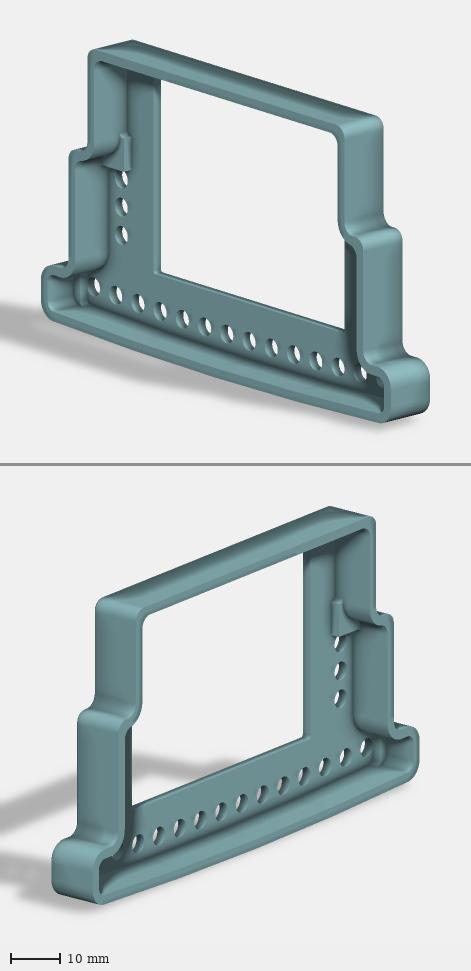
import cadquery as cq
import math

depth = 11.1
wall = 2.0
floor_thickness = 2.0
back_edge_radius = 0.6

height = 61.7
top_half_width = 39.3
middle_half_width = 45.0
base_half_width = 53.5
upper_shoulder_z = 39.2
lower_shoulder_z = 13.1
bottom_bow = 1.4
bow_radius = (base_half_width**2 + bottom_bow**2) / (2 * bottom_bow)

step_radius = 2.5
base_radius = 4.0
cavity_concave_radius = step_radius + wall
cavity_convex_radius = step_radius
cavity_base_radius = base_radius - wall

window_half_width = 29.2
window_bottom_z = 14.0
window_top_z = 57.6
window_corner_radius = 0.6

hole_diameter = 4.0
side_hole_x = 39.1
side_hole_bottom_z = 20.0
side_hole_pitch = 6.0
side_hole_count = 3
row_hole_count = 15
row_length = 95.1
row_hole_pitch = row_length / (row_hole_count - 1)
row_middle_z = 6.0
row_bow_radius = 930.9

pad_height = 2.0
pad_fillet = 1.0
shoulder_pad_half_width = 36.0
shoulder_pad_bottom_z = 34.6
shoulder_pad_top_z = upper_shoulder_z + step_radius
end_pad_half_width = 49.4

floor_y = depth - floor_thickness
pad_y = floor_y - pad_height


def prism(sketch, y_start, y_end):
    """Extrude an X-Z sketch from y_start to y_end."""
    return sketch.extrude(y_start - y_end).translate((0, y_start, 0))


def bow_z(x, radius, lowest_z):
    """Height at x of an upward-curving arc whose lowest point is at X = 0."""
    return lowest_z + radius - math.sqrt(radius**2 - x**2)


def round_corners(body, corners, radius, y_middle):
    """Fillet the Y-parallel edges through the given (x, z) corners and their mirror images."""
    for x, z in corners:
        for side in (-1, 1):
            corner = cq.selectors.NearestToPointSelector((side * x, y_middle, z))
            body = body.edges("|Y").edges(corner).fillet(radius)
    return body


def base_outline(inset):
    """Right half of the base, from the middle of the bottom edge to the foot of the middle step."""
    base_x = base_half_width - inset
    radius = bow_radius - inset
    return (
        cq.Workplane("XZ")
        .moveTo(0, inset)
        .threePointArc(
            (base_x / 2, bow_z(base_x / 2, radius, inset)),
            (base_x, bow_z(base_x, radius, inset)),
        )
        .lineTo(base_x, lower_shoulder_z - inset)
        .lineTo(middle_half_width - inset, lower_shoulder_z - inset)
    )


def make_shell():
    """Solid outer block with rounded corners and a rounded back edge."""
    outline = (
        base_outline(0)
        .lineTo(middle_half_width, upper_shoulder_z)
        .lineTo(top_half_width, upper_shoulder_z)
        .lineTo(top_half_width, height)
        .lineTo(0, height)
        .mirrorY()
    )
    shell = prism(outline, 0, depth).clean()
    step_corners = [
        (middle_half_width, lower_shoulder_z),
        (middle_half_width, upper_shoulder_z),
        (top_half_width, upper_shoulder_z),
        (top_half_width, height),
    ]
    base_corners = [(base_half_width, bottom_bow), (base_half_width, lower_shoulder_z)]
    shell = round_corners(shell, step_corners, step_radius, depth / 2)
    shell = round_corners(shell, base_corners, base_radius, depth / 2)
    return shell.faces(">Y").edges().fillet(back_edge_radius)


def make_cavity():
    """Inside volume: the outline inset by the wall, with two tangent arcs along each upper shoulder."""
    top_x = top_half_width - wall
    middle_x = middle_half_width - wall
    base_x = base_half_width - wall
    top_z = height - wall

    concave_x = top_half_width + step_radius
    concave_z = upper_shoulder_z + step_radius
    convex_x = middle_x - cavity_convex_radius
    center_distance = cavity_concave_radius + cavity_convex_radius
    tilt = math.acos((convex_x - concave_x) / center_distance)
    convex_z = concave_z - center_distance * math.sin(tilt)

    def on_concave(angle):
        return (
            concave_x + cavity_concave_radius * math.cos(angle),
            concave_z - cavity_concave_radius * math.sin(angle),
        )

    def on_convex(angle):
        return (
            convex_x + cavity_convex_radius * math.cos(angle),
            convex_z + cavity_convex_radius * math.sin(angle),
        )

    outline = (
        base_outline(wall)
        .lineTo(middle_x, convex_z)
        .threePointArc(on_convex((math.pi - tilt) / 2), on_convex(math.pi - tilt))
        .threePointArc(on_concave((math.pi + tilt) / 2), on_concave(math.pi))
        .lineTo(top_x, top_z)
        .lineTo(0, top_z)
        .mirrorY()
    )
    cavity = prism(outline, 0, floor_y).clean()
    bottom_corner_z = bow_z(base_x, bow_radius - wall, wall)
    base_corners = [(base_x, bottom_corner_z), (base_x, lower_shoulder_z - wall)]
    foot_corners = [(middle_x, lower_shoulder_z - wall)]
    cavity = round_corners(cavity, foot_corners, cavity_concave_radius, floor_y / 2)
    cavity = round_corners(cavity, base_corners, cavity_base_radius, floor_y / 2)
    return round_corners(cavity, [(top_x, top_z)], cavity_convex_radius, floor_y / 2)


def block(x_range, y_range, z_range):
    """Axis-aligned block between the given limits, together with its mirror image across X = 0."""
    lows, highs = zip(x_range, y_range, z_range)
    size = [high - low for low, high in zip(lows, highs)]
    right = cq.Workplane("XY").box(*size, centered=False).translate(lows)
    return right.union(right.mirror("YZ"))


def add_pads(shell, cavity):
    """Floor pads under the upper shoulders and at both ends of the base, filleted to the walls."""
    wall_x = middle_half_width - wall
    end_x = base_half_width - wall
    base_top_z = lower_shoulder_z - wall
    y_range = (pad_y, floor_y)
    shoulder_pads = block(
        (shoulder_pad_half_width, wall_x), y_range, (shoulder_pad_bottom_z, shoulder_pad_top_z)
    )
    end_pads = block((end_pad_half_width, end_x), y_range, (0, base_top_z))
    pads = shoulder_pads.union(end_pads).intersect(cavity)
    pad_corners = [
        (top_half_width - wall, shoulder_pad_top_z),
        (wall_x, shoulder_pad_bottom_z),
        (end_pad_half_width, base_top_z),
        (end_pad_half_width, bow_z(end_pad_half_width, bow_radius - wall, wall)),
    ]
    return round_corners(shell.union(pads), pad_corners, pad_fillet, (pad_y + floor_y) / 2)


def cut_window(body):
    """Rectangular opening through the floor."""
    window = block((0, window_half_width), (floor_y, depth), (window_bottom_z, window_top_z))
    return body.cut(window.edges("|Y").fillet(window_corner_radius))


def cut_holes(body):
    """Two side columns and one bowed row of round holes through the floor."""
    side_points = [
        (side * side_hole_x, side_hole_bottom_z + i * side_hole_pitch)
        for side in (-1, 1)
        for i in range(side_hole_count)
    ]
    row_x = [i * row_hole_pitch - row_length / 2 for i in range(row_hole_count)]
    row_points = [(x, bow_z(x, row_bow_radius, row_middle_z)) for x in row_x]
    holes = cq.Workplane("XZ").pushPoints(side_points + row_points).circle(hole_diameter / 2)
    return body.cut(prism(holes, floor_y, depth))


cavity = make_cavity()
housing = add_pads(make_shell().cut(cavity), cavity)
result = cut_holes(cut_window(housing))